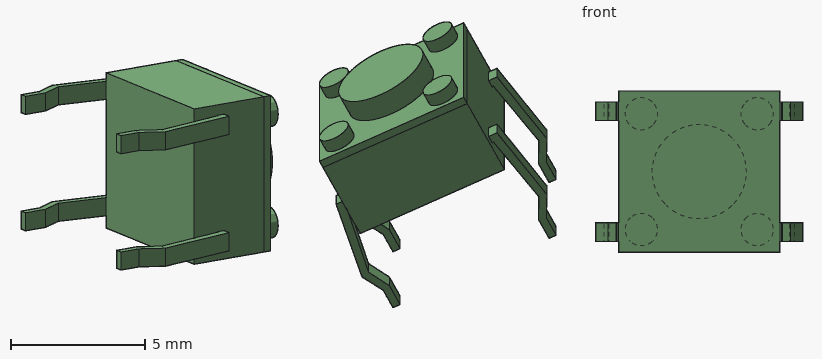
import cadquery as cq

OVERALL_DEPTH = 7.8
OVERALL_WIDTH = 7.7
BODY_SIDE = 6.0

BUTTON_HEIGHT = 0.9
COVER_THICKNESS = 0.3
HOUSING_DEPTH = 3.1
cover_front = OVERALL_DEPTH - BUTTON_HEIGHT
housing_front = cover_front - COVER_THICKNESS
housing_back = housing_front - HOUSING_DEPTH

BUTTON_DIAMETER = 3.5

RIVET_DIAMETER = 1.2
RIVET_HEIGHT = 0.5
RIVET_OFFSET = 2.15

LEG_WIDTH = 0.7
LEG_THICKNESS = 0.3
LEG_OFFSET_Z = 2.25
SHOULDER_X = 3.35
SHOULDER_RISE = 1.32
BEND_Y = 1.67
FOOT_X = 3.39
FOOT_LENGTH = 0.81
MITER_SHIFT = 0.07
BEND_THICKNESS = 0.31
SHOULDER_THICKNESS = 0.29


def block(y_back, depth):
    """Square block whose back face is at y_back."""
    return cq.Workplane("XY").box(BODY_SIDE, depth, BODY_SIDE).translate((0, y_back + depth / 2, 0))


def make_housing():
    return block(housing_back, HOUSING_DEPTH)


def make_cover():
    """Square plate with a rivet head near each corner."""
    rivets = (
        cq.Workplane("XZ", origin=(0, cover_front, 0))
        .rect(2 * RIVET_OFFSET, 2 * RIVET_OFFSET, forConstruction=True)
        .vertices()
        .circle(RIVET_DIAMETER / 2)
        .extrude(-RIVET_HEIGHT)
    )
    return block(housing_front, COVER_THICKNESS).union(rivets)


def make_button():
    return (
        cq.Workplane("XZ", origin=(0, cover_front, 0))
        .circle(BUTTON_DIAMETER / 2)
        .extrude(-BUTTON_HEIGHT)
    )


def make_leg(side, z_center):
    """Bent leg on the +X (side = 1) or -X (side = -1) wall of the housing."""
    wall = BODY_SIDE / 2
    bend_x = OVERALL_WIDTH / 2
    shoulder_y = housing_back + SHOULDER_RISE
    outer = [(wall, shoulder_y), (SHOULDER_X, shoulder_y), (bend_x, BEND_Y), (FOOT_X, FOOT_LENGTH), (FOOT_X, 0)]
    inner = [
        (FOOT_X - LEG_THICKNESS, 0),
        (FOOT_X - LEG_THICKNESS, FOOT_LENGTH + MITER_SHIFT),
        (bend_x - BEND_THICKNESS, BEND_Y + MITER_SHIFT),
        (SHOULDER_X - SHOULDER_THICKNESS, shoulder_y - LEG_THICKNESS),
        (wall, shoulder_y - LEG_THICKNESS),
    ]
    outline = [(side * x, y) for x, y in outer + inner]
    return (
        cq.Workplane("XY", origin=(0, 0, z_center))
        .polyline(outline)
        .close()
        .extrude(LEG_WIDTH / 2, both=True)
    )


housing = make_housing()
cover = make_cover()
button = make_button()
legs = [make_leg(side, z) for side in (-1, 1) for z in (-LEG_OFFSET_Z, LEG_OFFSET_Z)]

result = cq.Compound.makeCompound(
    [housing.val(), cover.val(), button.val(), *[leg.val() for leg in legs]]
)